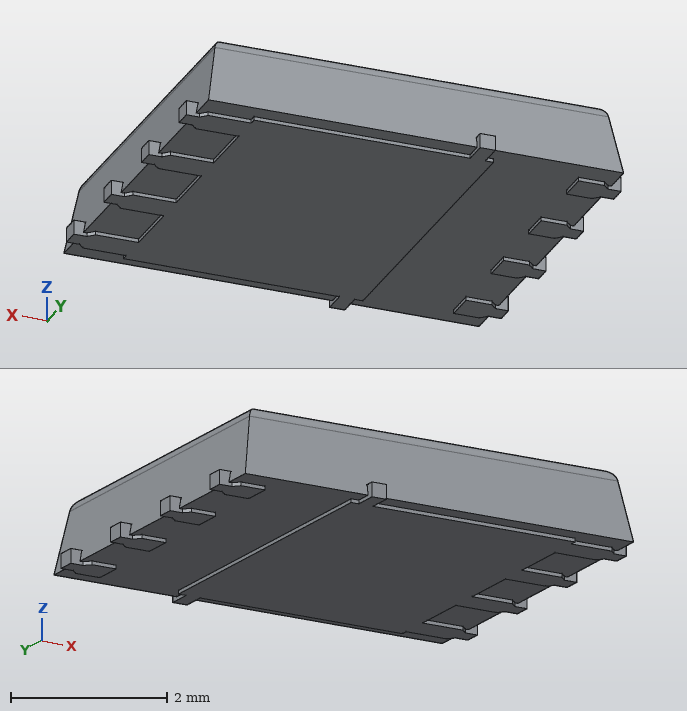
import cadquery as cq

overall_length = 6.0
overall_width = 5.1
overall_height = 1.05
standoff = 0.05

body_length = 5.73
body_width = 4.9
body_height = overall_height - standoff
draft_angle = 10.0
top_fillet = 0.2

lead_count = 4
lead_pitch = 1.27
lead_thickness = 0.2
lead_width = 0.25
foot_width = 0.42
shoulder = (foot_width - lead_width) / 2
lead_tip_x = overall_length / 2
shoulder_x = 2.82
foot_x = shoulder_x - shoulder
foot_end_x = 2.38

pad_left_x = -1.165
pad_right_x = 2.14
pad_width = 4.42
tie_bar_left_x = -1.053
tie_bar_width = 0.21

lead_rows = [(i - (lead_count - 1) / 2) * lead_pitch for i in range(lead_count)]


def plan_block(left, right, width):
    """Leadframe block from x = left to x = right, centred on Y = 0."""
    return cq.Workplane("XY").box(
        right - left, width, lead_thickness, centered=(False, True, False)
    ).translate((left, 0, 0))


def make_lead(side, inner_x, row_y):
    """Lead on the +X (side = 1) or -X (side = -1) side with a wider foot."""
    half_foot = foot_width / 2
    half_lead = lead_width / 2
    outline = [
        (inner_x, half_foot),
        (foot_x, half_foot),
        (shoulder_x, half_lead),
        (lead_tip_x, half_lead),
        (lead_tip_x, -half_lead),
        (shoulder_x, -half_lead),
        (foot_x, -half_foot),
        (inner_x, -half_foot),
    ]
    placed = [(side * x, row_y + y) for x, y in outline]
    return cq.Workplane("XY").polyline(placed).close().extrude(lead_thickness)


def make_drain_pad():
    """Exposed pad, its two tie bars and the four +X leads in one piece."""
    pad = plan_block(pad_left_x, pad_right_x, pad_width)
    pad = pad.union(plan_block(tie_bar_left_x, tie_bar_left_x + tie_bar_width, overall_width))
    for row_y in lead_rows:
        pad = pad.union(make_lead(1, pad_right_x, row_y))
    return pad


def make_body(inserts):
    """Drafted body with rounded top edges, recessed for the metal inserts."""
    body = (
        cq.Workplane("XY")
        .workplane(offset=standoff)
        .rect(body_length, body_width)
        .extrude(body_height, taper=draft_angle)
        .faces(">Z")
        .edges()
        .fillet(top_fillet)
    )
    for insert in inserts:
        body = body.cut(insert)
    return body


drain_pad = make_drain_pad()
leads = [make_lead(-1, foot_end_x, row_y) for row_y in lead_rows]
body = make_body([drain_pad, *leads])

result = cq.Compound.makeCompound([body.val(), drain_pad.val(), *[lead.val() for lead in leads]])